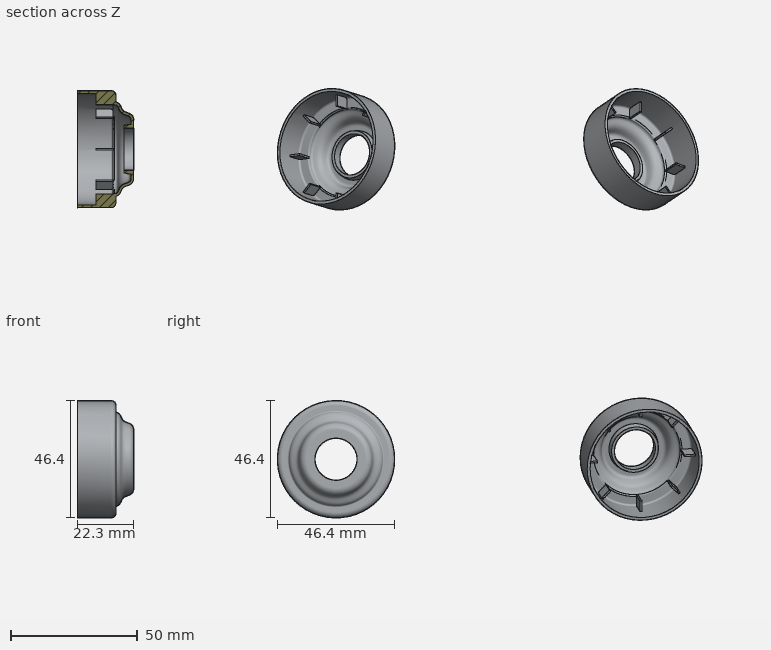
import cadquery as cq
import math


length = 22.3
skirt_radius = 23.2
wall = 1.2
web_face_x = 15.3
skirt_fillet = 2.0

shallow_angle = math.radians(20)
steep_angle = math.radians(65)
lip_arc_radius = 2.75
step_arc_radius = 2.5
lip_flat_radius = 11.65
lip_cone_run = 1.45
step_cone_run = 0.55
root_fillet = 0.6

bore_radius = 8.25
collar_tip_radius = 9.46
collar_base_radius = 9.94
collar_height = 2.7

rib_count = 8
rib_thickness = 0.75
rib_inner_radius = 17.58
rib_start_x = 7.3


def on_arc(center, radius, angle):
    """Point of an arc whose tangent falls away from the X axis direction by the given angle."""
    return (center[0] + radius * math.sin(angle), center[1] + radius * math.cos(angle))


def shifted_along_cone(point, run, angle):
    """Move a point back towards the rim along a cone, by an axial run."""
    return (point[0] - run, point[1] + run * math.tan(angle))


lip_center = (length - lip_arc_radius, lip_flat_radius)
lip_cone_end = on_arc(lip_center, lip_arc_radius, shallow_angle)
lip_cone_start = shifted_along_cone(lip_cone_end, lip_cone_run, shallow_angle)
waist_center = on_arc(lip_cone_start, step_arc_radius, shallow_angle)
step_cone_end = on_arc(waist_center, -step_arc_radius, steep_angle)
step_cone_start = shifted_along_cone(step_cone_end, step_cone_run, steep_angle)
shoulder_center = on_arc(step_cone_start, -step_arc_radius, steep_angle)


def turned_body(inset):
    """Solid of revolution bounded by the outer surface moved inwards by the inset."""
    lip_radius = lip_arc_radius - inset
    shoulder_radius = step_arc_radius - inset
    waist_radius = -(step_arc_radius + inset)
    corner_radius = skirt_fillet - inset
    web_x = web_face_x - inset
    outer_radius = skirt_radius - inset
    waist_middle_angle = (shallow_angle + steep_angle) / 2
    lip_middle_angle = (shallow_angle + math.pi / 2) / 2

    corner_center = (web_x - corner_radius, outer_radius - corner_radius)
    root_center_x = web_x + root_fillet
    has_land = root_center_x < shoulder_center[0]
    if has_land:
        root_angle = 0
        root_center = (root_center_x, shoulder_center[1] + shoulder_radius + root_fillet)
    else:
        center_distance = shoulder_radius + root_fillet
        root_angle = math.asin((root_center_x - shoulder_center[0]) / center_distance)
        root_center = on_arc(shoulder_center, center_distance, root_angle)
    root_middle_angle = (root_angle + math.pi / 2) / 2
    shoulder_middle_angle = (root_angle + steep_angle) / 2

    profile = (
        cq.Workplane("XY")
        .moveTo(0, 0)
        .lineTo(0, outer_radius)
        .lineTo(corner_center[0], outer_radius)
        .threePointArc(on_arc(corner_center, corner_radius, math.pi / 4), (web_x, corner_center[1]))
        .lineTo(web_x, root_center[1])
        .threePointArc(
            on_arc(root_center, -root_fillet, root_middle_angle),
            on_arc(root_center, -root_fillet, root_angle),
        )
    )
    if has_land:
        profile = profile.lineTo(*on_arc(shoulder_center, shoulder_radius, root_angle))
    return (
        profile.threePointArc(
            on_arc(shoulder_center, shoulder_radius, shoulder_middle_angle),
            on_arc(shoulder_center, shoulder_radius, steep_angle),
        )
        .lineTo(*on_arc(waist_center, waist_radius, steep_angle))
        .threePointArc(
            on_arc(waist_center, waist_radius, waist_middle_angle),
            on_arc(waist_center, waist_radius, shallow_angle),
        )
        .lineTo(*on_arc(lip_center, lip_radius, shallow_angle))
        .threePointArc(
            on_arc(lip_center, lip_radius, lip_middle_angle),
            (length - inset, lip_flat_radius),
        )
        .lineTo(length - inset, 0)
        .close()
        .revolve(360, (0, 0, 0), (1, 0, 0))
    )


def collar():
    """Tapered ring standing on the inner face of the nose, around the bore."""
    base_x = length - wall
    tip_x = base_x - collar_height
    return (
        cq.Workplane("XY")
        .polyline([(length, 0), (tip_x, 0), (tip_x, collar_tip_radius),
                   (base_x, collar_base_radius), (length, collar_base_radius)])
        .close()
        .revolve(360, (0, 0, 0), (1, 0, 0))
    )


def rib(angle):
    """Flat radial plate from the skirt inwards, reaching the inner face of the web."""
    buried_depth = wall / 2
    rib_length = web_face_x - buried_depth - rib_start_x
    rib_height = skirt_radius - buried_depth - rib_inner_radius
    return (
        cq.Workplane("XY")
        .box(rib_length, rib_thickness, rib_height, centered=(False, True, False))
        .edges(">X and >Z")
        .fillet(skirt_fillet - buried_depth)
        .translate((rib_start_x, 0, rib_inner_radius))
        .rotate((0, 0, 0), (1, 0, 0), angle)
    )


def bore():
    """Through hole along the axis."""
    return cq.Workplane("YZ").circle(bore_radius).extrude(length)


result = turned_body(0).cut(turned_body(wall)).union(collar()).cut(bore())
for index in range(rib_count):
    result = result.union(rib(index * 360 / rib_count))